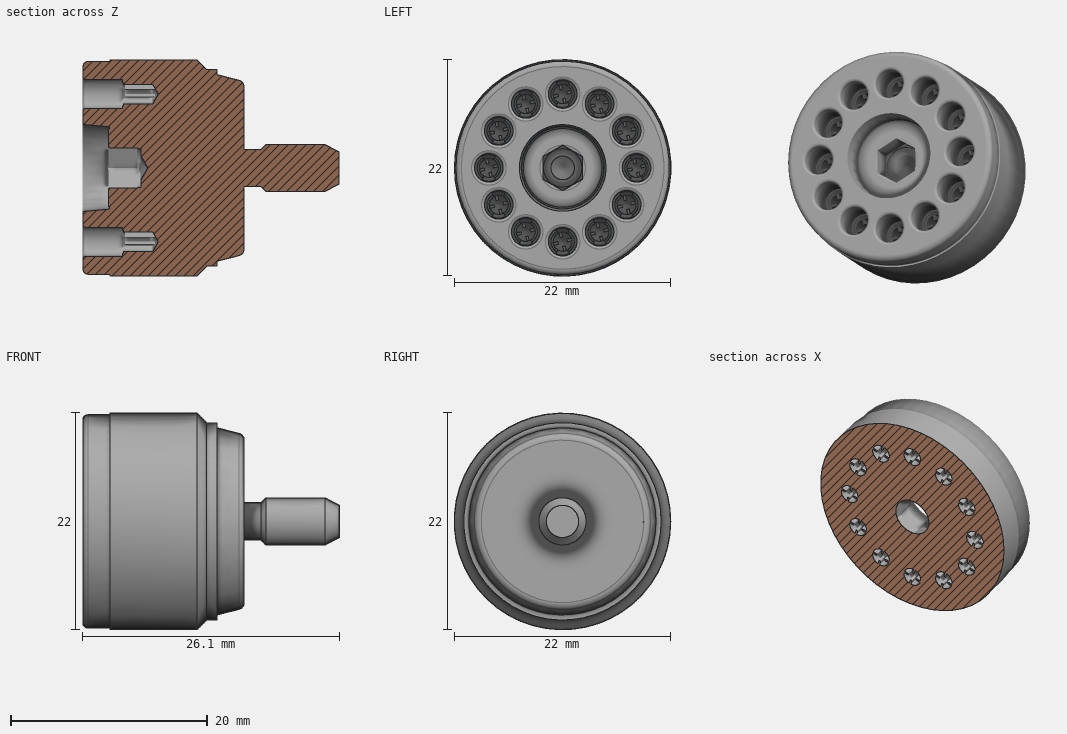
import cadquery as cq
import math

collar_end_x = 2.76
body_end_x = 11.6
flange_x = 12.58
flange_end_x = 13.64
rear_face_x = 16.4
neck_end_x = 18.1
pin_x = 18.6
pin_end_x = 24.6
total_length = 26.07
collar_radius = 10.84
body_radius = 11.0
flange_radius = 10.02
rear_cone_front_radius = 9.5
rear_cone_back_radius = 8.8
neck_radius = 1.9
pin_radius = 2.4
pin_tip_radius = 1.64
front_fillet = 0.55
rear_fillet = 0.7
selection_margin = 0.01

recess_depth = 2.6
recess_mouth_radius = 4.4
recess_floor_radius = 4.17
screw_head_radius = 4.0
screw_head_gap_depth = 0.1
hex_across_flats = 4.0
hex_corner_radius = hex_across_flats / math.sqrt(3)
hex_depth = 3.0
hex_lead_in = 0.05
hex_relief_radius = 1.95
hex_relief_depth = 0.3
centre_drill_radius = 1.2
centre_drill_depth = 0.7

socket_count = 12
socket_circle_radius = 7.5
socket_radius = 1.45
socket_mouth_fillet = 0.3
socket_depth = 4.0
step_radius = 1.18
step_depth = 0.1
bore_radius = 0.97
bore_depth = 3.0
bore_tip_depth = 0.55
lead_in_outer_radius = 1.36
lead_in_depth = 0.3
lead_in_half_angle = 30
finger_count = 4
finger_first_angle = -15
finger_width = 0.26
finger_inner_radius = 0.47


def revolved(points):
    """Solid of revolution about X from (x, radius) points."""
    return (
        cq.Workplane("XY").polyline(points).close()
        .revolve(360, (0, 0, 0), (1, 0, 0))
    )


def round_outer_rim(solid, face_x, radius):
    """Fillet the largest circular edge that lies in the plane X = face_x."""
    plane_box = cq.selectors.BoxSelector(
        (face_x - selection_margin, -body_radius, -body_radius),
        (face_x + selection_margin, body_radius, body_radius),
    )
    rim = solid.edges(plane_box).edges(cq.selectors.RadiusNthSelector(-1))
    return rim.fillet(radius)


def make_blank():
    blank = revolved([
        (0, 0),
        (0, collar_radius),
        (collar_end_x, collar_radius),
        (collar_end_x, body_radius),
        (body_end_x, body_radius),
        (flange_x, flange_radius),
        (flange_end_x, flange_radius),
        (flange_end_x, rear_cone_front_radius),
        (rear_face_x, rear_cone_back_radius),
        (rear_face_x, neck_radius),
        (neck_end_x, neck_radius),
        (pin_x, pin_radius),
        (pin_end_x, pin_radius),
        (total_length, pin_tip_radius),
        (total_length, 0),
    ])
    blank = round_outer_rim(blank, 0, front_fillet)
    return round_outer_rim(blank, rear_face_x, rear_fillet)


def make_centre_recess():
    """Tapered recess with a narrow gap around its floor, hex socket and drilled centre."""
    hex_floor_x = recess_depth + hex_depth
    relief_floor_x = hex_floor_x + hex_relief_depth
    gap_floor_x = recess_depth + screw_head_gap_depth
    recess = revolved([
        (0, 0),
        (0, recess_mouth_radius),
        (recess_depth, recess_floor_radius),
        (gap_floor_x, recess_floor_radius),
        (gap_floor_x, screw_head_radius),
        (recess_depth, screw_head_radius),
        (recess_depth, 0),
    ])
    lead_in = revolved([
        (recess_depth, 0),
        (recess_depth, hex_corner_radius),
        (recess_depth + hex_lead_in, hex_across_flats / 2),
        (recess_depth + hex_lead_in, 0),
    ])
    hex_socket = (
        cq.Workplane("YZ", origin=(recess_depth, 0, 0))
        .transformed(rotate=(0, 0, 90))
        .polygon(6, 2 * hex_corner_radius)
        .extrude(hex_depth)
    )
    relief_and_drill = revolved([
        (hex_floor_x, 0),
        (hex_floor_x, hex_relief_radius),
        (relief_floor_x, hex_relief_radius),
        (relief_floor_x, centre_drill_radius),
        (relief_floor_x + centre_drill_depth, 0),
    ])
    return recess.union(lead_in).union(hex_socket).union(relief_and_drill)


def make_lead_in_sector():
    """Upright conical sector that widens the mouth of the contact bore."""
    sector_angle = 2 * lead_in_half_angle
    return (
        cq.Workplane("XY")
        .polyline([
            (socket_depth, 0),
            (socket_depth, lead_in_outer_radius),
            (socket_depth + lead_in_depth, bore_radius),
            (socket_depth + lead_in_depth, 0),
        ])
        .close()
        .revolve(sector_angle, (0, 0, 0), (1, 0, 0))
        .rotate((0, 0, 0), (1, 0, 0), 90 - lead_in_half_angle)
    )


def make_socket():
    """Cavity of one contact socket, centred on the X axis."""
    step_x = socket_depth + step_depth
    bore_end_x = step_x + bore_depth
    mouth_radius = socket_radius + socket_mouth_fillet
    mouth_mid_offset = socket_mouth_fillet * (1 - math.sqrt(0.5))
    cavity = (
        cq.Workplane("XY")
        .moveTo(0, 0)
        .lineTo(0, mouth_radius)
        .threePointArc(
            (mouth_mid_offset, socket_radius + mouth_mid_offset),
            (socket_mouth_fillet, socket_radius),
        )
        .lineTo(socket_depth, socket_radius)
        .lineTo(socket_depth, step_radius)
        .lineTo(step_x, step_radius)
        .lineTo(step_x, bore_radius)
        .lineTo(bore_end_x, bore_radius)
        .lineTo(bore_end_x + bore_tip_depth, 0)
        .close()
        .revolve(360, (0, 0, 0), (1, 0, 0))
    )
    upper_lead_in = make_lead_in_sector()
    lower_lead_in = upper_lead_in.rotate((0, 0, 0), (1, 0, 0), 180)
    cavity = cavity.union(upper_lead_in).union(lower_lead_in)

    finger_x = socket_depth + lead_in_depth
    finger_length = bore_end_x + bore_tip_depth - finger_x
    finger_height = socket_radius - finger_inner_radius
    for i in range(finger_count):
        finger = (
            cq.Workplane("XY")
            .box(finger_length, finger_height, finger_width, centered=(False, False, True))
            .translate((finger_x, finger_inner_radius, 0))
            .rotate((0, 0, 0), (1, 0, 0), finger_first_angle + i * 360 / finger_count)
        )
        cavity = cavity.cut(finger)
    return cavity


def cut_sockets(part):
    socket = make_socket()
    for i in range(socket_count):
        angle = 2 * math.pi * i / socket_count
        y = socket_circle_radius * math.cos(angle)
        z = socket_circle_radius * math.sin(angle)
        part = part.cut(socket.translate((0, y, z)))
    return part


result = cut_sockets(make_blank().cut(make_centre_recess()))